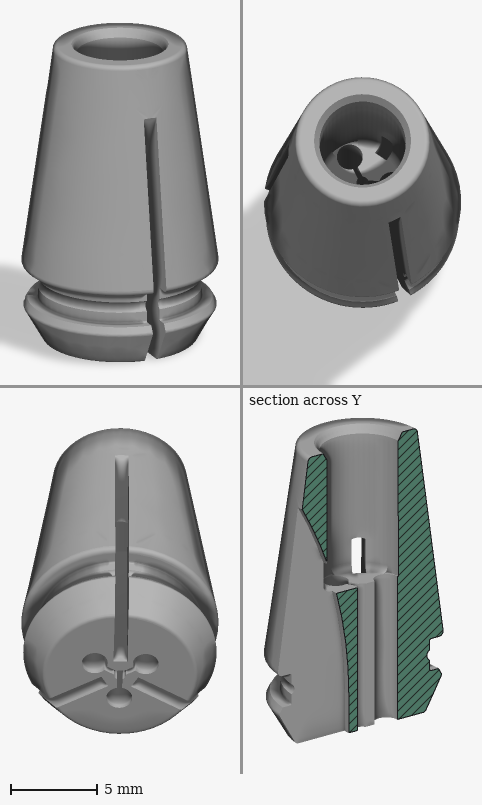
import cadquery as cq
import math

total_length = 18.0

taper_angle = 8.0
taper_base_radius = 5.75
taper_base_height = 4.5
base_rounding = 0.3
top_rounding = 0.3

neck_radius = 4.75
neck_start_height = 2.52
neck_corner_rounding = 0.1
groove_radius = 0.35
groove_depth = 0.2

nose_cone_angle = 30.0
nose_face_radius = 4.42
nose_rim_height = 2.08
nose_rim_rounding = 0.2
nose_face_rounding = 0.25

bore_radius = 2.5
bore_floor_height = 9.0
bore_floor_rounding = 0.4
bore_chamfer_width = 0.3
bore_chamfer_depth = 0.5

clamp_hole_radius = 0.35
relief_hole_radius = 0.75
relief_hole_distance = 1.7
slit_width = 0.3

slot_width = 0.8
slot_floor_radius = 1.0
slot_top_height = 14.85
saw_radius = 25.0

segment_count = 3
segment_angle = 360.0 / segment_count
slot_angles = [segment_angle * i for i in range(segment_count)]
relief_angles = [angle + segment_angle / 2 for angle in slot_angles]

overrun = 1.0


def taper_radius(height):
    """Radius of the sharp-edged taper at a height."""
    return taper_base_radius - (height - taper_base_height) * math.tan(math.radians(taper_angle))


def ring_edges(solid, radius, height):
    """Select the circular edge with this radius and height."""
    tolerance = 0.01
    return solid.edges(
        cq.selectors.BoxSelector(
            (-tolerance, -tolerance, height - tolerance),
            (tolerance, tolerance, height + tolerance),
        )
    ).filter(lambda edge: edge.geomType() == "CIRCLE" and abs(edge.radius() - radius) < tolerance)


def turned_body():
    """Solid of revolution with its corners rounded."""
    nose_slope = math.tan(math.radians(nose_cone_angle))
    rim_radius = nose_face_radius + nose_rim_height * nose_slope
    shoulder_radius = rim_radius - (neck_start_height - nose_rim_height) * nose_slope
    top_radius = taper_radius(total_length)

    body = (
        cq.Workplane("XZ")
        .moveTo(0, 0)
        .lineTo(nose_face_radius, 0)
        .lineTo(rim_radius, nose_rim_height)
        .lineTo(shoulder_radius, neck_start_height)
        .lineTo(neck_radius, neck_start_height)
        .lineTo(neck_radius, taper_base_height)
        .lineTo(taper_base_radius, taper_base_height)
        .lineTo(top_radius, total_length)
        .lineTo(0, total_length)
        .close()
        .revolve(360, (0, 0, 0), (0, 1, 0))
    )

    rounded_rings = [
        (nose_face_radius, 0, nose_face_rounding),
        (rim_radius, nose_rim_height, nose_rim_rounding),
        (neck_radius, neck_start_height, neck_corner_rounding),
        (neck_radius, taper_base_height, neck_corner_rounding),
        (taper_base_radius, taper_base_height, base_rounding),
        (top_radius, total_length, top_rounding),
    ]
    for radius, height, rounding in rounded_rings:
        body = ring_edges(body, radius, height).fillet(rounding)
    return body


def neck_groove():
    """Ring of round section that cuts the groove into the neck."""
    groove_height = (neck_start_height + taper_base_height) / 2
    section_center = neck_radius - groove_depth + groove_radius
    return (
        cq.Workplane("XZ")
        .center(section_center, groove_height)
        .circle(groove_radius)
        .revolve(360, (-section_center, 0, 0), (-section_center, 1, 0))
    )


def upright_cylinder(radius, start_height, end_height):
    return cq.Workplane("XY").workplane(offset=start_height).circle(radius).extrude(end_height - start_height)


def bore():
    """Blind bore with a rounded floor corner and a chamfered mouth."""
    depth_cut = upright_cylinder(bore_radius, bore_floor_height, total_length)
    depth_cut = depth_cut.faces("<Z").edges().fillet(bore_floor_rounding)
    mouth = (
        cq.Workplane("XY")
        .workplane(offset=total_length)
        .circle(bore_radius + bore_chamfer_width)
        .workplane(offset=-bore_chamfer_depth)
        .circle(bore_radius)
        .loft()
    )
    return depth_cut.union(mouth)


def relief_cut():
    """Relief hole on the +X side, its slit to the axis and the unrounded floor corner beside it."""
    hole = upright_cylinder(relief_hole_radius, -overrun, bore_floor_height + overrun)
    hole = hole.translate((relief_hole_distance, 0, 0))

    slit_height = bore_floor_height + overrun
    slit = cq.Workplane("XY").box(relief_hole_distance, slit_width, slit_height, centered=(False, True, False))

    floor_rim = bore_radius - bore_floor_rounding
    half_angle = math.acos(
        (floor_rim**2 + relief_hole_distance**2 - relief_hole_radius**2)
        / (2 * floor_rim * relief_hole_distance)
    )
    wedge_length = bore_radius + overrun
    wedge_half_width = wedge_length * math.tan(half_angle)
    wedge = (
        cq.Workplane("XY")
        .workplane(offset=bore_floor_height)
        .polyline([(0, 0), (wedge_length, -wedge_half_width), (wedge_length, wedge_half_width)])
        .close()
        .extrude(bore_floor_rounding)
    )
    corner = wedge.intersect(
        upright_cylinder(bore_radius, bore_floor_height, bore_floor_height + bore_floor_rounding)
    )
    return hole.union(slit).union(corner)


def saw_slot():
    """Slot on the +X side: an upright floor that curves outward up to the taper surface."""
    saw_center = slot_floor_radius + saw_radius
    slot_top_radius = taper_radius(slot_top_height)
    saw_height = slot_top_height - math.sqrt(saw_radius**2 - (saw_center - slot_top_radius) ** 2)
    saw_disc = (
        cq.Workplane("XZ")
        .center(saw_center, saw_height)
        .circle(saw_radius)
        .extrude(slot_width / 2, both=True)
    )
    straight_run = cq.Workplane("XY").box(
        taper_base_radius + overrun - slot_floor_radius,
        slot_width,
        saw_height + overrun,
        centered=(False, True, False),
    )
    return saw_disc.union(straight_run.translate((slot_floor_radius, 0, -overrun)))


def turned_about_axis(cutter, angle):
    return cutter.rotate((0, 0, 0), (0, 0, 1), angle)


result = turned_body().cut(neck_groove()).cut(bore())
result = result.cut(upright_cylinder(clamp_hole_radius, -overrun, total_length))
for angle in relief_angles:
    result = result.cut(turned_about_axis(relief_cut(), angle))
for angle in slot_angles:
    result = result.cut(turned_about_axis(saw_slot(), angle))